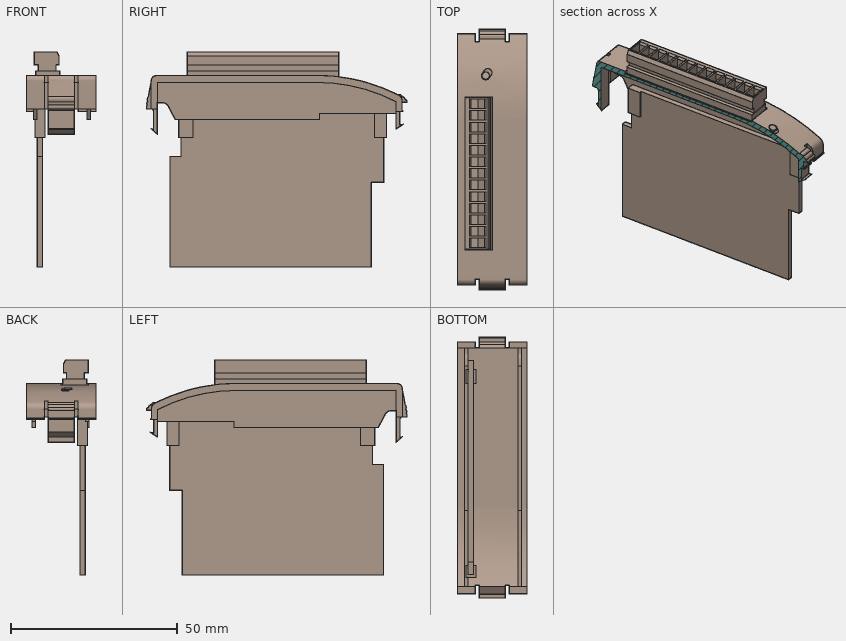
import cadquery as cq
import math


cover_width = 21.0
cover_half_length = 37.6
roof_thickness = 2.1
plate_thickness = 1.9
plate_inner_y = cover_half_length - plate_thickness
roof_arc_start_y = 12.2
roof_radius = 53.2
front_fillet = 1.65
back_fillet = 2.2
front_plate_bottom = -10.1
back_plate_bottom = -10.9
back_lip = 0.2

wall_thickness = 1.2
wall_outer_left = -8.4
wall_outer_right = 8.85
wall_bottom = -13.2
wall_raised_bottom = -11.4
wall_step_y = 12.8
notch_top = -8.2
notch_arc_end_y = -34.4
notch_arc_start = (-32.6, -9.1)
notch_arc_mid = (-33.3, -8.45)
notch_bottom_y = -30.4

guide_left = -7.9
guide_right = -4.85
guide_top = -9.8
guide_bottom = -18.6
guide_y_ranges = [(-29.4, -25.1), (29.3, 32.9)]

latch_width = 7.8
slot_width = 1.2
front_slot_end_y = -35.9
back_slot_end_y = 35.35
arm_thickness = 1.2
front_valleys = [(-38.5, -6.3), (-38.65, -7.9), (-38.8, -8.85), (-38.9, front_plate_bottom)]
front_arm_bevel = 0.5
front_barb_root_z = -16.3
front_barb_tip = (-37.6, -15.95)
front_arm_bottom = -17.7
back_valleys = [(36.7, -5.7), (37.55, -6.3), (38.6, -7.3), (39.1, -7.9)]
back_grip_bottom = -8.05
back_barb_root_z = -14.9
back_barb_tip = (38.0, -14.6)
back_arm_bottom = -16.1
ridge_bulge = 0.2

lens_center = (-1.95, 25.2)
lens_radius = 1.1
oblong_radius = 1.25
oblong_shift = (0.6, 0.85)
lens_recess_floor = -2.3

board_left = -7.2
board_right = -5.55
board_bottom = -57.5
board_upper_y = (-28.7, 32.15)
board_lower_y = (-32.0, 28.4)
board_front_step = -24.25
board_back_step = -32.1

block_front_y = -26.8
block_back_y = 18.6
block_length = block_back_y - block_front_y
header_left = -7.7
header_right = -0.4
header_top = 1.3
neck_left = -7.0
neck_right = -1.6
neck_top = 3.1
head_left = -8.1
head_right = -0.6
head_top = 7.05
head_bevel_x = 0.6
head_bevel_z = 1.25
cell_count = 13
cell_wall = 0.6
cell_end_wall = 0.5
cell_pitch = (block_length - 2 * cell_end_wall + cell_wall) / cell_count
cell_floor = 2.35
cell_mouth_left = -6.9
cell_floor_left = -6.4
cell_floor_right = -4.2
cell_ramp_right = -2.35
cell_mouth_right = -1.8
cell_left_bevel = 0.7
cell_right_bevel = 0.55
cell_profile = [
    (cell_mouth_left, head_top),
    (cell_floor_left, head_top - cell_left_bevel),
    (cell_floor_left, cell_floor),
    (cell_floor_right, cell_floor),
    (cell_ramp_right, head_top - cell_right_bevel),
    (cell_mouth_right, head_top),
]

recess_gap_x = 0.5
recess_gap_y = 0.2
header_recess_floor = -0.9


def box(x_range, y_range, z_range):
    """Block spanning the given X, Y and Z ranges."""
    size = [high - low for low, high in (x_range, y_range, z_range)]
    corner = (x_range[0], y_range[0], z_range[0])
    return cq.Workplane("XY").box(*size, centered=False).translate(corner)


def across(profile, left, right):
    """Extrude a closed YZ profile from X = left to X = right."""
    return profile.extrude(right - left).translate((left, 0, 0))


def along_block(profile):
    """Extrude a closed XZ profile over the length of the terminal block."""
    return profile.extrude(block_length).translate((0, block_back_y, 0))


def arc_point(y, radius):
    """Point of the falling roof arc with the given radius at this Y."""
    run = y - roof_arc_start_y
    return (y, math.sqrt(radius**2 - run**2) - roof_radius)


def make_shell():
    """Roof and both end plates as one bent plate, with rounded outer edges."""
    half = cover_half_length
    inner = plate_inner_y
    under_radius = roof_radius - roof_thickness
    middle_y = (roof_arc_start_y + half) / 2
    profile = (
        cq.Workplane("YZ")
        .moveTo(-half, front_plate_bottom)
        .lineTo(-half, 0)
        .lineTo(roof_arc_start_y, 0)
        .threePointArc(arc_point(middle_y, roof_radius), arc_point(half, roof_radius))
        .lineTo(half, back_plate_bottom + 2 * back_lip)
        .lineTo(half + back_lip, back_plate_bottom + back_lip)
        .lineTo(half + back_lip, back_plate_bottom)
        .lineTo(inner, back_plate_bottom)
        .lineTo(*arc_point(inner, under_radius))
        .threePointArc(arc_point(middle_y, under_radius), (roof_arc_start_y, -roof_thickness))
        .lineTo(-inner, -roof_thickness)
        .lineTo(-inner, front_plate_bottom)
        .close()
    )
    roof_end = (0, *arc_point(half, roof_radius))
    shell = across(profile, -cover_width / 2, cover_width / 2)
    shell = shell.faces("<Y").edges(">Z").fillet(front_fillet)
    back_edge = cq.selectors.NearestToPointSelector(roof_end)
    return shell.edges(back_edge).fillet(back_fillet)


def make_side_wall(outer_left):
    """Side wall hanging below the roof."""
    inner = plate_inner_y
    under_radius = roof_radius - roof_thickness
    middle_y = (roof_arc_start_y + inner) / 2
    profile = (
        cq.Workplane("YZ")
        .moveTo(-inner, -roof_thickness)
        .lineTo(-inner, notch_top)
        .lineTo(notch_arc_end_y, notch_top)
        .threePointArc(notch_arc_mid, notch_arc_start)
        .lineTo(notch_bottom_y, wall_bottom)
        .lineTo(wall_step_y, wall_bottom)
        .lineTo(wall_step_y, wall_raised_bottom)
        .lineTo(inner, wall_raised_bottom)
        .lineTo(*arc_point(inner, under_radius))
        .threePointArc(arc_point(middle_y, under_radius), (roof_arc_start_y, -roof_thickness))
        .close()
    )
    return across(profile, outer_left, outer_left + wall_thickness)


def add_ridges(profile, valleys):
    """Continue a profile with round grip ridges, bulging up and outward between the valleys."""
    for (start_y, start_z), (end_y, end_z) in zip(valleys, valleys[1:]):
        length = math.hypot(end_y - start_y, end_z - start_z)
        bulge_y = math.copysign(ridge_bulge, end_y) * abs(end_z - start_z) / length
        bulge_z = ridge_bulge * abs(end_y - start_y) / length
        crest = ((start_y + end_y) / 2 + bulge_y, (start_z + end_z) / 2 + bulge_z)
        profile = profile.threePointArc(crest, (end_y, end_z))
    return profile


def make_front_latch():
    """Snap latch on the -Y end: sloped grip, spring arm and barb."""
    arm_outer = -plate_inner_y - arm_thickness
    profile = (
        cq.Workplane("YZ")
        .moveTo(-plate_inner_y, -front_fillet)
        .lineTo(-cover_half_length, -front_fillet)
        .lineTo(*front_valleys[0])
    )
    profile = (
        add_ridges(profile, front_valleys)
        .lineTo(arm_outer - front_arm_bevel, front_plate_bottom)
        .lineTo(arm_outer, front_plate_bottom - front_arm_bevel)
        .lineTo(arm_outer, front_barb_root_z)
        .lineTo(*front_barb_tip)
        .lineTo(-plate_inner_y, front_arm_bottom)
        .close()
    )
    return across(profile, -latch_width / 2, latch_width / 2)


def make_back_latch():
    """Snap latch on the +Y end: grip wedge, spring arm and barb."""
    arm_outer = plate_inner_y + arm_thickness
    profile = (
        cq.Workplane("YZ")
        .moveTo(plate_inner_y, back_valleys[0][1])
        .lineTo(*back_valleys[0])
    )
    profile = (
        add_ridges(profile, back_valleys)
        .lineTo(back_valleys[-1][0], back_grip_bottom)
        .lineTo(cover_half_length, back_grip_bottom)
        .lineTo(cover_half_length, back_plate_bottom)
        .lineTo(arm_outer, back_plate_bottom)
        .lineTo(arm_outer, back_barb_root_z)
        .lineTo(*back_barb_tip)
        .lineTo(plate_inner_y, back_arm_bottom)
        .close()
    )
    return across(profile, -latch_width / 2, latch_width / 2)


def make_latch_slots():
    """Cutter for the slots on both sides of each latch."""
    cutter = cq.Workplane("XY")
    for side in (-1, 1):
        center_x = side * (latch_width + slot_width) / 2
        x_range = (center_x - slot_width / 2, center_x + slot_width / 2)
        z_range = (back_plate_bottom, 0)
        cutter = cutter.union(box(x_range, (-cover_half_length, front_slot_end_y), z_range))
        cutter = cutter.union(box(x_range, (back_slot_end_y, cover_half_length + back_lip), z_range))
    return cutter


def make_header_recess():
    """Cutter for the shallow recess around the terminal header."""
    return box(
        (head_left, header_right + recess_gap_x),
        (block_front_y - recess_gap_y, block_back_y + recess_gap_y),
        (header_recess_floor, 0),
    )


def make_header():
    """Rectangular header that rises from its recess and carries the plug."""
    return box(
        (header_left, header_right),
        (block_front_y, block_back_y),
        (header_recess_floor, header_top),
    )


def make_indicator_recess():
    """Cutter for the oblong recess that leaves a round lens standing at roof level."""
    shift_x, shift_y = oblong_shift
    length = math.hypot(shift_x, shift_y)
    angle = math.degrees(math.atan2(shift_y, shift_x))
    middle = (lens_center[0] + shift_x / 2, lens_center[1] + shift_y / 2)
    oblong = (
        cq.Workplane("XY", origin=(*middle, lens_recess_floor))
        .slot2D(length + 2 * oblong_radius, 2 * oblong_radius, angle)
        .extrude(-lens_recess_floor)
    )
    lens = (
        cq.Workplane("XY", origin=(*lens_center, lens_recess_floor))
        .circle(lens_radius)
        .extrude(-lens_recess_floor)
    )
    return oblong.cut(lens)


def make_board():
    """Stepped circuit board, held between the guides and the left side wall."""
    upper_front, upper_back = board_upper_y
    lower_front, lower_back = board_lower_y
    outline = [
        (upper_front, guide_top),
        (upper_front, board_front_step),
        (lower_front, board_front_step),
        (lower_front, board_bottom),
        (lower_back, board_bottom),
        (lower_back, board_back_step),
        (upper_back, board_back_step),
        (upper_back, guide_top),
    ]
    return across(cq.Workplane("YZ").polyline(outline).close(), board_left, board_right)


def make_terminal_plug():
    """Terminal plug with a row of open wire cells; its neck stands on the header."""
    outline = [
        (neck_left, header_top),
        (neck_right, header_top),
        (neck_right, neck_top),
        (head_right, neck_top),
        (head_right, head_top - head_bevel_z),
        (head_right - head_bevel_x, head_top),
        (head_left, head_top),
        (head_left, neck_top),
        (neck_left, neck_top),
    ]
    plug = along_block(cq.Workplane("XZ").polyline(outline).close())
    cell = cq.Workplane("XZ").polyline(cell_profile).close().extrude(cell_pitch - cell_wall)
    for index in range(cell_count):
        cell_back_y = block_back_y - cell_end_wall - index * cell_pitch
        plug = plug.cut(cell.translate((0, cell_back_y, 0)))
    return plug


def make_cover():
    """Bent shell with side walls, board guides, latches and the recesses in its roof."""
    cover = make_shell().cut(make_latch_slots())
    for outer_left in (wall_outer_left, wall_outer_right - wall_thickness):
        cover = cover.union(make_side_wall(outer_left))
    for y_range in guide_y_ranges:
        cover = cover.union(box((guide_left, guide_right), y_range, (guide_bottom, guide_top)))
    cover = cover.union(make_front_latch()).union(make_back_latch())
    return cover.cut(make_header_recess()).cut(make_indicator_recess())


module = make_cover().union(make_board()).union(make_header())
terminal_plug = make_terminal_plug()

result = cq.Compound.makeCompound([module.val(), terminal_plug.val()])